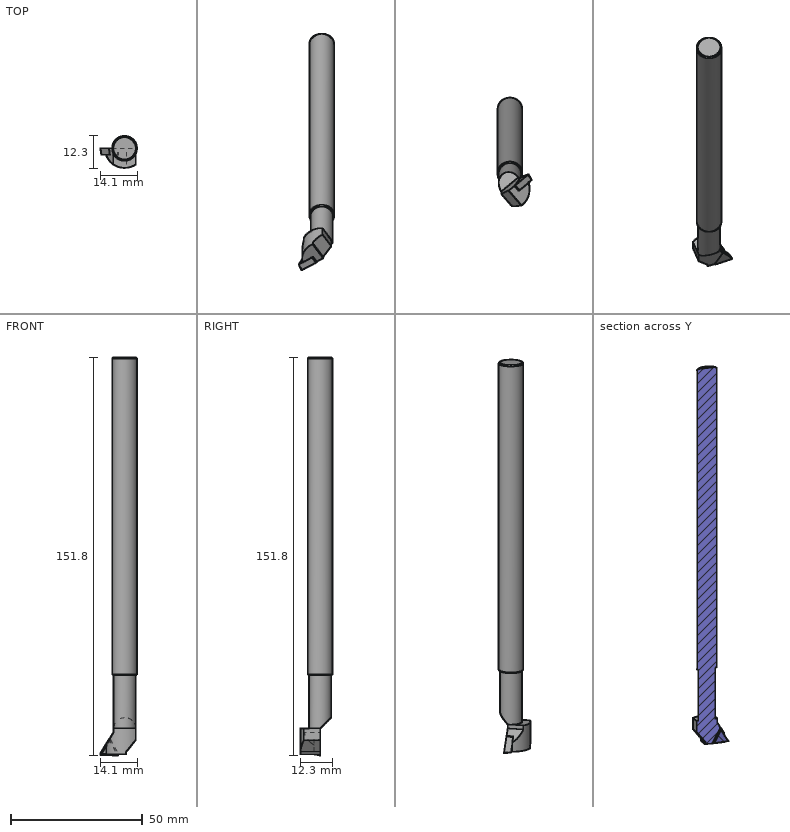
import cadquery as cq
import math

overall_length = 151.85
overall_width = 14.13
shank_diameter = 9.53
neck_diameter = 8.53
shank_bottom = 30.55
shank_chamfer = (shank_diameter - neck_diameter) / 2

shank_radius = shank_diameter / 2
neck_radius = neck_diameter / 2

rake_plane_y = 0.1
head_radius = 7.505
head_top = 10.4
head_bottom = 0.45
flank_top = 8.85
flank_angle = 59.0
heel_slope_top = 5.9
heel_slope_bottom = 1.4
heel_x = 0.6
ramp_angle = 45.0

insert_inscribed_diameter = 4.4
insert_thickness = 2.6
insert_relief_angle = 11.0
insert_nose_radius = 0.4
insert_tip_x = shank_radius - overall_width
insert_tilt = 1.5


def insert_outline():
    """Equilateral triangle with rounded noses: apex up, cutting tip at -X, third nose at Z = 0."""
    circumradius = insert_inscribed_diameter
    nose_centre_radius = circumradius - 2 * insert_nose_radius
    apex, tip, heel = [math.radians(angle - insert_tilt) for angle in (90, 210, 330)]
    centre_x = insert_tip_x + insert_nose_radius - nose_centre_radius * math.cos(tip)
    centre_z = insert_nose_radius - nose_centre_radius * math.sin(heel)
    corners = [
        (centre_x + circumradius * math.cos(angle), centre_z + circumradius * math.sin(angle))
        for angle in (apex, tip, heel)
    ]
    return cq.Sketch().polygon(corners + corners[:1]).vertices().fillet(insert_nose_radius)


def insert_prism(relief_angle):
    """Insert outline extruded from the rake plane towards -Y, narrowing by the relief angle."""
    return (
        cq.Workplane("XZ", origin=(0, rake_plane_y, 0))
        .placeSketch(insert_outline())
        .extrude(insert_thickness, taper=relief_angle)
    )


def make_shank():
    return (
        cq.Workplane("XY", origin=(0, 0, shank_bottom))
        .circle(shank_radius)
        .extrude(overall_length - shank_bottom)
        .faces("<Z or >Z")
        .chamfer(shank_chamfer)
    )


def make_neck():
    """Round neck whose +Y side runs down a ramp onto the rake plane."""
    neck = cq.Workplane("XY", origin=(0, 0, head_top)).circle(neck_radius).extrude(shank_bottom - head_top)
    ramp_run = neck_radius - rake_plane_y
    ramp_height = ramp_run * math.tan(math.radians(ramp_angle))
    ramp = (
        cq.Workplane("YZ")
        .moveTo(rake_plane_y, head_top)
        .lineTo(neck_radius, head_top)
        .lineTo(neck_radius, head_top + ramp_height)
        .close()
        .extrude(neck_radius, both=True)
    )
    return neck.cut(ramp)


def make_head():
    """Round-backed head, trimmed to a slanted side profile."""
    flank_run = (flank_top - head_bottom) / math.tan(math.radians(flank_angle))
    profile = [
        (-neck_radius, head_top),
        (neck_radius, head_top),
        (neck_radius, heel_slope_top),
        (heel_x, heel_slope_bottom),
        (heel_x, head_bottom),
        (-neck_radius - flank_run, head_bottom),
        (-neck_radius, flank_top),
    ]
    slanted_block = (
        cq.Workplane("XZ", origin=(0, rake_plane_y, 0))
        .polyline(profile)
        .close()
        .extrude(rake_plane_y + head_radius)
    )
    round_back = cq.Workplane("XY").circle(head_radius).extrude(head_top)
    return round_back.intersect(slanted_block)


insert_pocket = insert_prism(0)
bar = make_shank().union(make_neck()).union(make_head()).cut(insert_pocket)
insert = insert_prism(insert_relief_angle)

result = cq.Compound.makeCompound([bar.val(), insert.val()])